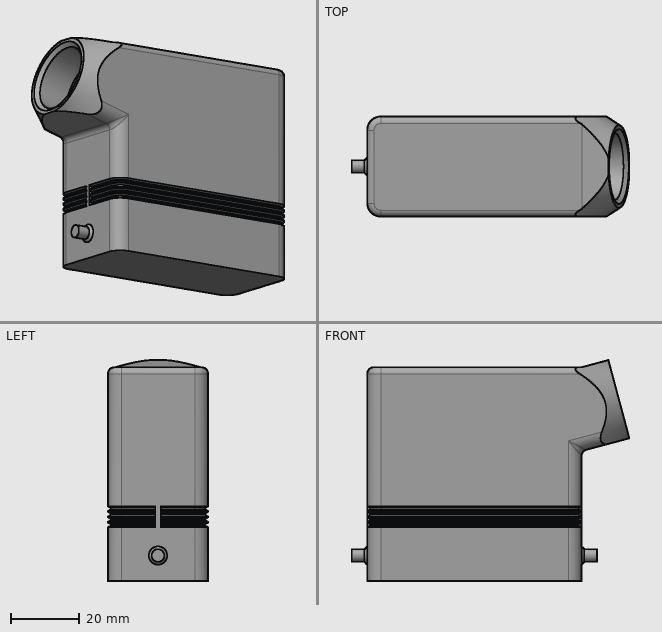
import cadquery as cq
import math

overall_length = 81.5
body_length = 62.9
body_width = 29.4
body_height = 62.8
corner_radius = 4.0
top_edge_radius = 1.95
wall_x = body_length / 2
side_y = body_width / 2

pin_length = 4.6
pin_radius = 1.9
pin_root_radius = 2.7
pin_root_length = 0.8
pin_height = 7.5

groove_count = 4
groove_pitch = 1.59
groove_depth = 0.8
groove_opening = 1.4
groove_floor = 0.5
lowest_groove_height = 16.5
groove_break_width = 1.7

spout_tilt = 15.0
spout_height = 23.8
spout_root_depth = 6.5
spout_corner_radius = 1.8
mouth_radius = 12.15
mouth_cone_angle = 32.0
mouth_cone_length = 24.45

bore_radius = 9.8
bore_chamfer = 1.2

axis_x = math.cos(math.radians(spout_tilt))
axis_z = math.sin(math.radians(spout_tilt))
slope = axis_z / axis_x

lip_x = overall_length - wall_x - pin_length
mouth_top_x = lip_x - spout_height * axis_z
mouth_top_z = body_height + (mouth_top_x - wall_x) * slope
lip_z = mouth_top_z - spout_height * axis_x
mouth_x = (mouth_top_x + lip_x) / 2
mouth_z = (mouth_top_z + lip_z) / 2
root_x = wall_x - spout_root_depth


def spout_underside_z(x):
    return lip_z - (lip_x - x) * slope


def cone_from(origin, direction, start_radius, end_radius, length):
    cone = cq.Solid.makeCone(start_radius, end_radius, length, pnt=origin, dir=direction)
    return cq.Workplane(obj=cone)


mouth = cq.Plane(origin=(mouth_x, 0, mouth_z), xDir=(0, 1, 0), normal=(-axis_x, 0, -axis_z))


def make_body():
    block = cq.Workplane("XY").box(body_length, body_width, body_height, centered=(True, True, False))
    return block.edges("|Z").fillet(corner_radius).faces(">Z").edges().fillet(top_edge_radius)


def make_shoulder():
    """Upper end of the body behind the spout, square-cornered but with rounded top edges."""
    height = body_height - mouth_z
    block = cq.Workplane("XY").box(spout_root_depth, body_width, height, centered=(False, True, False))
    block = block.faces(">Z").edges("|X").fillet(top_edge_radius)
    return block.translate((root_x, 0, mouth_z))


def make_spout():
    """Tilted block with rounded lower edges, trimmed by a cone that narrows to the round mouth."""
    outline = [
        (root_x, mouth_z),
        (wall_x, mouth_z),
        (wall_x, body_height),
        (mouth_top_x, mouth_top_z),
        (lip_x, lip_z),
        (root_x, spout_underside_z(root_x)),
    ]
    block = cq.Workplane("XZ").polyline(outline).close().extrude(side_y, both=True)
    underside = cq.DirectionMinMaxSelector(cq.Vector(axis_z, 0, -axis_x))
    along_spout = cq.ParallelDirSelector(cq.Vector(axis_x, 0, axis_z))
    block = block.faces(underside).edges(along_spout).fillet(corner_radius)

    cone_end_radius = mouth_radius + mouth_cone_length * math.tan(math.radians(mouth_cone_angle))
    cone = cone_from(mouth.origin, mouth.zDir, mouth_radius, cone_end_radius, mouth_cone_length)
    return block.union(make_shoulder()).intersect(cone)


def make_bore():
    depth = (mouth_x - wall_x) / axis_x
    bore = cq.Workplane(mouth).circle(bore_radius).extrude(depth)
    countersink_radius = bore_radius + bore_chamfer
    countersink = cone_from(mouth.origin, mouth.zDir, countersink_radius, bore_radius, bore_chamfer)
    return bore.union(countersink)


def make_groove(height):
    """Cutter for one groove: a tapered profile swept around the body outline."""
    outline = cq.Workplane("XY").rect(body_length, body_width).extrude(0.8).edges("|Z").fillet(corner_radius)
    path = outline.faces("<Z").wires().val()
    profile = [
        (0, -groove_opening / 2),
        (groove_depth, -groove_floor / 2),
        (groove_depth, groove_floor / 2),
        (0, groove_opening / 2),
    ]
    ring = cq.Workplane("YZ", origin=(0, -side_y, 0)).polyline(profile).close().sweep(path)
    end_breaks = cq.Workplane("XY").box(overall_length, groove_break_width, 2 * groove_opening)
    return ring.cut(end_breaks).translate((0, 0, height))


def make_pin(side):
    """Pin on one end wall; side is +1 for the +X wall and -1 for the -X wall."""
    wall = cq.Plane(origin=(side * wall_x, 0, pin_height), xDir=(0, 1, 0), normal=(side, 0, 0))
    shank = cq.Workplane(wall).circle(pin_radius).extrude(pin_length)
    root = cone_from(wall.origin, wall.zDir, pin_root_radius, pin_radius, pin_root_length)
    return shank.union(root)


result = make_body().union(make_spout())

inner_corner = (wall_x, 0, spout_underside_z(wall_x))
result = result.edges(cq.NearestToPointSelector(inner_corner)).fillet(spout_corner_radius)

result = result.cut(make_bore())

for index in range(groove_count):
    result = result.cut(make_groove(lowest_groove_height + index * groove_pitch))

for end in (-1, 1):
    result = result.union(make_pin(end))